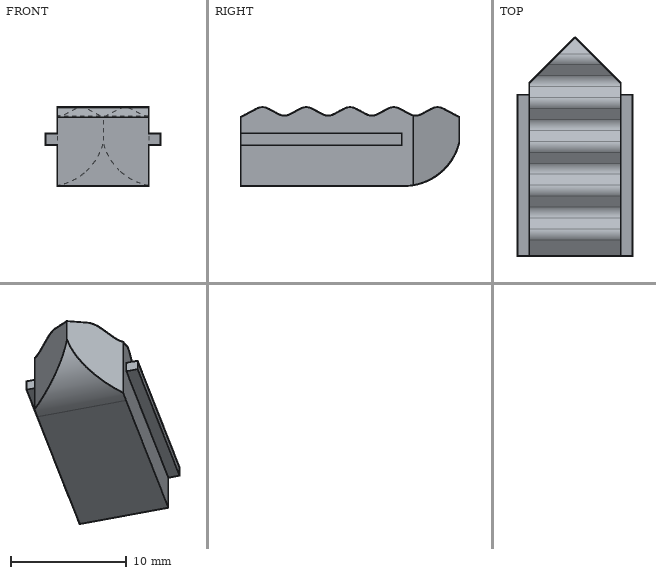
import cadquery as cq
import math

length = 19.0
height = 6.88
overall_width = 10.0

rail_projection = 1.0
rail_thickness = 1.0
rail_bottom = 3.57
rail_length = 14.0

body_width = overall_width - 2 * rail_projection
nose_length = body_width / 2

crest_count = 5
wave_pitch = length / crest_count
wave_radius = 1.0
slope_angle = math.radians(28)

arc_half_width = wave_radius * math.sin(slope_angle)
arc_rise = wave_radius * (1 - math.cos(slope_angle))
slope_run = wave_pitch / 2 - 2 * arc_half_width
slope_drop = slope_run * math.tan(slope_angle)
valley_height = height - 2 * arc_rise - slope_drop
end_run = wave_pitch / 2 - arc_half_width
end_height = height - arc_rise - end_run * math.tan(slope_angle)

belly_radius = 5.0
belly_top = 3.82


def side_profile():
    """Long section of the body in the YZ plane."""
    tip_offset = math.sqrt(belly_radius**2 - (belly_radius - belly_top) ** 2)
    belly_center_y = length - tip_offset
    half_sweep = math.atan2(tip_offset, belly_radius - belly_top) / 2
    belly_middle = (
        belly_center_y + belly_radius * math.sin(half_sweep),
        belly_radius * (1 - math.cos(half_sweep)),
    )
    profile = cq.Workplane("YZ").moveTo(0, 0).lineTo(0, end_height)
    for index in range(crest_count):
        crest_y = (index + 0.5) * wave_pitch
        crest_side = height - arc_rise
        profile = profile.lineTo(crest_y - arc_half_width, crest_side).threePointArc(
            (crest_y, height), (crest_y + arc_half_width, crest_side)
        )
        if index < crest_count - 1:
            valley_y = crest_y + wave_pitch / 2
            valley_side = valley_height + arc_rise
            profile = profile.lineTo(valley_y - arc_half_width, valley_side).threePointArc(
                (valley_y, valley_height), (valley_y + arc_half_width, valley_side)
            )
    return (
        profile.lineTo(length, end_height)
        .lineTo(length, belly_top)
        .threePointArc(belly_middle, (belly_center_y, 0))
        .close()
    )


def pointed_plan():
    """Full-height prism with the pointed outline seen from above."""
    half_width = body_width / 2
    shoulder_y = length - nose_length
    outline = [
        (-half_width, 0),
        (half_width, 0),
        (half_width, shoulder_y),
        (0, length),
        (-half_width, shoulder_y),
    ]
    return cq.Workplane("XY").polyline(outline).close().extrude(height)


def rails():
    """One bar through the body that forms the rail on each side."""
    return (
        cq.Workplane("XY")
        .box(overall_width, rail_length, rail_thickness, centered=(True, False, False))
        .translate((0, 0, rail_bottom))
    )


body = side_profile().extrude(body_width / 2, both=True).intersect(pointed_plan())
result = body.union(rails())